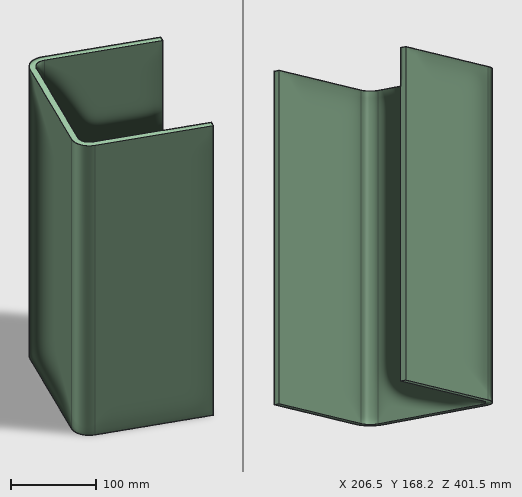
import cadquery as cq

width = 206.5
depth = 168.2
height = 401.5

thickness = 8.0
inner_radius = 14.0
outer_radius = inner_radius + thickness


def rounded_block(block_width, front_y, back_y, radius):
    """Full-height block whose two front vertical edges are rounded."""
    return (
        cq.Workplane("XY")
        .box(block_width, back_y - front_y, height, centered=(True, False, True))
        .translate((0, front_y, 0))
        .edges("|Z and <Y")
        .fillet(radius)
    )


front = -depth / 2
back = depth / 2
outside = rounded_block(width, front, back, outer_radius)
inside = rounded_block(width - 2 * thickness, front + thickness, back, inner_radius)

result = outside.cut(inside)